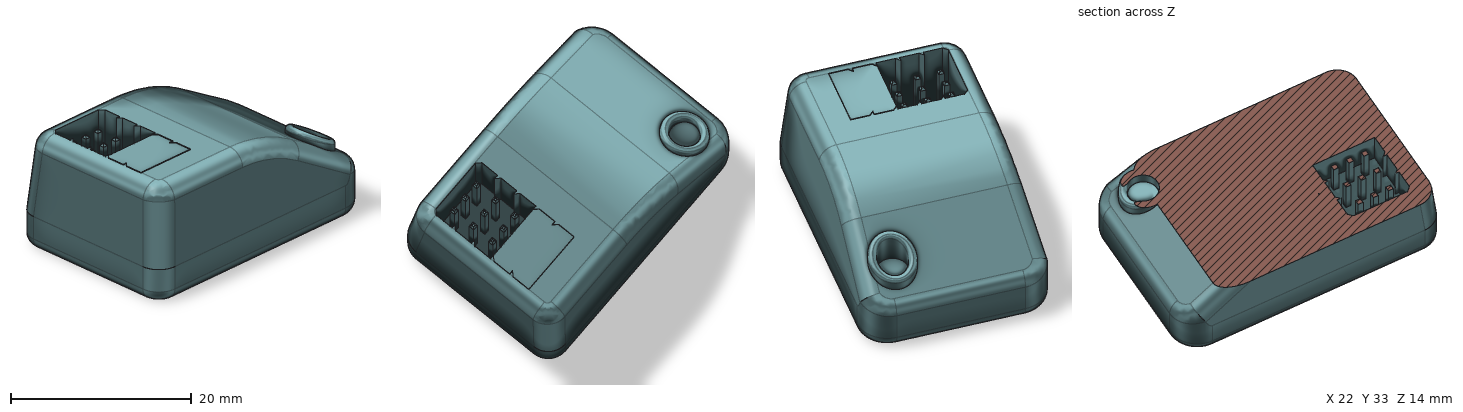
import cadquery as cq
import math

WIDTH = 22.0
LENGTH = 33.0
HEIGHT = 14.0
DRAFT_START_Z = 4.3
DRAFT_TAN = math.tan(math.radians(5.0))

SLOPE_ANGLE = math.radians(30.0)
SLOPE_TAN = math.tan(SLOPE_ANGLE)
ROOF_ARC_RADIUS = 19.0
ROOF_ARC_START_Y = -2.57

REAR_CORNER_RADIUS = 3.5
FRONT_CORNER_RADIUS = 2.5
ROOF_FILLET = 2.0
BASE_FILLET = 1.5

SLOT_COUNT = 5
OPEN_SLOT_COUNT = 3
SLOT_PITCH = 2.76
SLOT_LENGTH = 7.84
SLOT_KEY = 0.5
WELL_START_X = -8.25
WELL_CENTER_Y = -9.9
WELL_FLOOR_Z = 5.0
PLUG_RECESS = 0.08

PINS_PER_SLOT = 3
PIN_PITCH = 1.92
PIN_WIDTH = 0.65
PIN_TOP_Z = 12.6
PIN_TIP_HEIGHT = 0.25
PIN_TIP_WIDTH = 0.25

RING_X = 6.52
RING_Y = 11.95
RING_OUTER_RADIUS = 2.77
RING_INNER_RADIUS = 1.77
RING_RISE = 1.25
RING_ROUNDING = 0.49
RING_FLOOR_Z = 7.5

UPRIGHT_MIN_Z = 0.9

PARALLEL_MIN_DOT = 0.999
MATCH_TOLERANCE = 0.1

HALF_WIDTH = WIDTH / 2
HALF_LENGTH = LENGTH / 2
TOP_INSET = (HEIGHT - DRAFT_START_Z) * DRAFT_TAN
ARC_CENTER_Z = HEIGHT - ROOF_ARC_RADIUS


def roof_arc_point(angle):
    """Point (y, z) on the roof arc, with the angle measured from the flat roof."""
    y = ROOF_ARC_START_Y + ROOF_ARC_RADIUS * math.sin(angle)
    z = ARC_CENTER_Z + ROOF_ARC_RADIUS * math.cos(angle)
    return y, z


SLOPE_START_Y, SLOPE_START_Z = roof_arc_point(SLOPE_ANGLE)


def slope_z(y):
    """Height of the sloped roof plane at a given Y."""
    return SLOPE_START_Z - (y - SLOPE_START_Y) * SLOPE_TAN


def make_upper():
    """Upper case with its drafted walls and roof line; only the +Y corners are rounded."""
    cross_section = (
        cq.Workplane("XZ")
        .polyline([
            (-HALF_WIDTH, DRAFT_START_Z),
            (HALF_WIDTH, DRAFT_START_Z),
            (HALF_WIDTH - TOP_INSET, HEIGHT),
            (TOP_INSET - HALF_WIDTH, HEIGHT),
        ])
        .close()
        .extrude(HALF_LENGTH, both=True)
    )
    side_profile = (
        cq.Workplane("YZ")
        .moveTo(-HALF_LENGTH, DRAFT_START_Z)
        .lineTo(HALF_LENGTH, DRAFT_START_Z)
        .lineTo(HALF_LENGTH, slope_z(HALF_LENGTH))
        .lineTo(SLOPE_START_Y, SLOPE_START_Z)
        .threePointArc(roof_arc_point(SLOPE_ANGLE / 2), (ROOF_ARC_START_Y, HEIGHT))
        .lineTo(TOP_INSET - HALF_LENGTH, HEIGHT)
        .close()
        .extrude(HALF_WIDTH, both=True)
    )
    return cross_section.intersect(side_profile).intersect(make_plan(HEIGHT))


def make_plan(height):
    """Block standing on Z = 0 whose upright corners are rounded at the +Y wall only."""
    block = cq.Workplane().box(WIDTH, LENGTH, height, centered=(True, True, False))
    return block.faces(">Y").edges("|Z").fillet(REAR_CORNER_RADIUS)


def round_front_corners(body):
    """Round the two upright corner edges at the -Y wall."""
    def is_corner(edge):
        upright = abs(edge.tangentAt(0.5).z) > UPRIGHT_MIN_Z
        return upright and edge.Center().y < TOP_INSET - HALF_LENGTH

    corners = [edge for edge in body.edges().vals() if is_corner(edge)]
    return body.newObject(corners).fillet(FRONT_CORNER_RADIUS)


def roof_edges(body):
    """Edges bordering the flat roof at the -Y wall and the roof slope at the +Y wall."""
    slope_normal = cq.Vector(0, math.sin(SLOPE_ANGLE), math.cos(SLOPE_ANGLE))

    def is_slope(face):
        return face.geomType() == "PLANE" and face.normalAt().dot(slope_normal) > PARALLEL_MIN_DOT

    edges = body.faces(">Z").edges("<Y").vals()
    for face in filter(is_slope, body.faces().vals()):
        edges += [edge for edge in face.Edges() if edge.Center().y > SLOPE_START_Y + MATCH_TOLERANCE]
    return edges


def make_case():
    """Straight base and drafted upper case with all outer edges rounded."""
    base = round_front_corners(make_plan(DRAFT_START_Z))
    upper = round_front_corners(make_upper())
    base = base.faces("<Z").edges().fillet(BASE_FILLET)
    upper = upper.newObject(roof_edges(upper)).fillet(ROOF_FILLET)
    return base.union(upper)


def make_slots(first, count, depth):
    """Cutter for neighbouring slots, each keyed by two cut corners on its -X side."""
    half = SLOT_LENGTH / 2
    slots = None
    for index in range(first, first + count):
        left = WELL_START_X + index * SLOT_PITCH
        right = left + SLOT_PITCH
        slot = (
            cq.Workplane("XY", origin=(0, WELL_CENTER_Y, HEIGHT))
            .polyline([
                (left, SLOT_KEY - half),
                (left + SLOT_KEY, -half),
                (right, -half),
                (right, half),
                (left + SLOT_KEY, half),
                (left, half - SLOT_KEY),
            ])
            .close()
            .extrude(-depth)
        )
        slots = slots.union(slot) if slots else slot
    return slots


def make_pin(x, y):
    """Square contact pin with a pyramid tip."""
    tip_base_z = PIN_TOP_Z - PIN_TIP_HEIGHT
    shaft = (
        cq.Workplane("XY", origin=(x, y, WELL_FLOOR_Z))
        .rect(PIN_WIDTH, PIN_WIDTH)
        .extrude(tip_base_z - WELL_FLOOR_Z)
    )
    tip = (
        cq.Workplane("XY", origin=(x, y, tip_base_z))
        .rect(PIN_WIDTH, PIN_WIDTH)
        .workplane(offset=PIN_TIP_HEIGHT)
        .rect(PIN_TIP_WIDTH, PIN_TIP_WIDTH)
        .loft()
    )
    return shaft.union(tip)


def add_connector(case):
    """Cut the open and the plugged slots and stand the pins in the open ones."""
    case = case.cut(make_slots(0, OPEN_SLOT_COUNT, HEIGHT - WELL_FLOOR_Z))
    case = case.cut(make_slots(OPEN_SLOT_COUNT, SLOT_COUNT - OPEN_SLOT_COUNT, PLUG_RECESS))
    for column in range(OPEN_SLOT_COUNT):
        x = WELL_START_X + (column + 0.5) * SLOT_PITCH
        for row in range(PINS_PER_SLOT):
            y = WELL_CENTER_Y + (row - (PINS_PER_SLOT - 1) / 2) * PIN_PITCH
            case = case.union(make_pin(x, y))
    return case


def add_button_ring(case):
    """Add the tube with its slanted, rounded rim and a flat floor inside."""
    low_y = RING_Y - RING_OUTER_RADIUS
    high_y = RING_Y + RING_OUTER_RADIUS
    slanted_block = (
        cq.Workplane("YZ", origin=(RING_X, 0, 0))
        .polyline([
            (low_y, DRAFT_START_Z),
            (high_y, DRAFT_START_Z),
            (high_y, slope_z(high_y) + RING_RISE),
            (low_y, slope_z(low_y) + RING_RISE),
        ])
        .close()
        .extrude(RING_OUTER_RADIUS, both=True)
    )
    outer = (
        cq.Workplane("XY", origin=(RING_X, RING_Y, DRAFT_START_Z))
        .circle(RING_OUTER_RADIUS)
        .extrude(HEIGHT)
    )
    bore = (
        cq.Workplane("XY", origin=(RING_X, RING_Y, RING_FLOOR_Z))
        .circle(RING_INNER_RADIUS)
        .extrude(HEIGHT)
    )
    ring = outer.intersect(slanted_block).cut(bore)
    ring = ring.faces(">Z").edges().fillet(RING_ROUNDING)
    return case.cut(bore).union(ring)


result = add_button_ring(add_connector(make_case()))